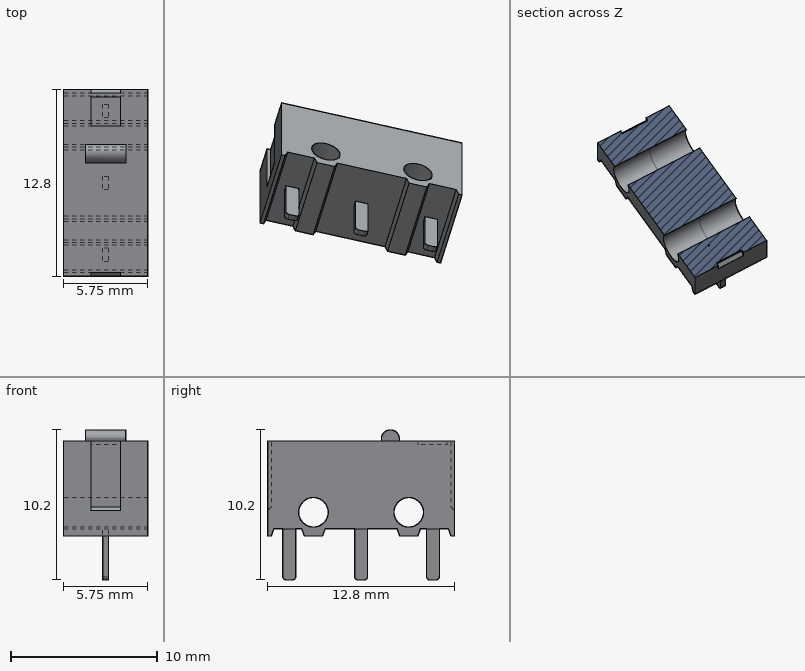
import cadquery as cq
import math


BODY_WIDTH = 5.75
BODY_LENGTH = 12.75
BODY_HEIGHT = 6.5
HALF_LENGTH = BODY_LENGTH / 2

FOOT_HEIGHT = 0.5
FOOT_FLANK_ANGLE = 20
FOOT_FLANK_RUN = FOOT_HEIGHT * math.tan(math.radians(FOOT_FLANK_ANGLE))
END_FOOT_LENGTH = 0.25
MIDDLE_FOOT_LENGTH = 1.25

HOLE_DIAMETER = 2.0
HOLE_SPACING = 6.5
HOLE_Z = 1.625

RECESS_WIDTH = 2.0
RECESS_DEPTH = 0.25
END_RECESS_HEIGHT = 4.75
POCKET_EDGE_GAP = 0.5

PLUNGER_WIDTH = 2.75
PLUNGER_RADIUS = 0.625
PLUNGER_HEIGHT = 0.75
PLUNGER_Y = 2.0

TERMINAL_THICKNESS = 0.4
TERMINAL_WIDTH = 0.9
TERMINAL_LENGTH = 3.0
TERMINAL_PITCH = 4.9
TERMINAL_CORNER_RADIUS = 0.25


def extrude_across(profile, width):
    """Extrude a YZ profile along X, centred on X = 0."""
    return profile.extrude(width / 2, both=True)


def make_body():
    """Box whose underside is cut away between the tapered feet."""
    body = cq.Workplane("XY").box(BODY_WIDTH, BODY_LENGTH, BODY_HEIGHT, centered=(True, True, False))
    foot_half = MIDDLE_FOOT_LENGTH / 2
    hole_y = HOLE_SPACING / 2
    end_foot_edge = HALF_LENGTH - END_FOOT_LENGTH
    gaps = [
        (-end_foot_edge, -hole_y - foot_half),
        (-hole_y + foot_half, hole_y - foot_half),
        (hole_y + foot_half, end_foot_edge),
    ]
    for start, end in gaps:
        gap = cq.Workplane("YZ").polyline([
            (start, 0),
            (end, 0),
            (end - FOOT_FLANK_RUN, FOOT_HEIGHT),
            (start + FOOT_FLANK_RUN, FOOT_HEIGHT),
        ]).close()
        body = body.cut(extrude_across(gap, BODY_WIDTH))
    return body


def make_mounting_holes():
    """Two holes through the full width."""
    spots = [(-HOLE_SPACING / 2, HOLE_Z), (HOLE_SPACING / 2, HOLE_Z)]
    circles = cq.Workplane("YZ").pushPoints(spots).circle(HOLE_DIAMETER / 2)
    return extrude_across(circles, BODY_WIDTH)


def make_end_recess(side):
    """Recess open at the top, with a 45 degree floor; side is the sign of Y."""
    floor_z = BODY_HEIGHT - END_RECESS_HEIGHT
    outer_y = side * HALF_LENGTH
    inner_y = side * (HALF_LENGTH - RECESS_DEPTH)
    profile = cq.Workplane("YZ").polyline([
        (outer_y, floor_z),
        (outer_y, BODY_HEIGHT),
        (inner_y, BODY_HEIGHT),
        (inner_y, floor_z + RECESS_DEPTH),
    ]).close()
    return extrude_across(profile, RECESS_WIDTH)


def make_top_pocket():
    """Shallow square pocket near the +Y end of the top face."""
    pocket_y = HALF_LENGTH - POCKET_EDGE_GAP - RECESS_WIDTH / 2
    top = cq.Workplane("XY", origin=(0, pocket_y, BODY_HEIGHT))
    return top.rect(RECESS_WIDTH, RECESS_WIDTH).extrude(-RECESS_DEPTH)


def make_plunger():
    """Straight-sided bar with a half-round top."""
    shoulder_z = BODY_HEIGHT + PLUNGER_HEIGHT - PLUNGER_RADIUS
    profile = (
        cq.Workplane("YZ")
        .moveTo(PLUNGER_Y - PLUNGER_RADIUS, BODY_HEIGHT)
        .lineTo(PLUNGER_Y - PLUNGER_RADIUS, shoulder_z)
        .threePointArc(
            (PLUNGER_Y, BODY_HEIGHT + PLUNGER_HEIGHT),
            (PLUNGER_Y + PLUNGER_RADIUS, shoulder_z),
        )
        .lineTo(PLUNGER_Y + PLUNGER_RADIUS, BODY_HEIGHT)
        .close()
    )
    return extrude_across(profile, PLUNGER_WIDTH)


def make_terminal(y):
    """Flat terminal hanging from the body underside, with rounded tip corners."""
    full_length = TERMINAL_LENGTH + FOOT_HEIGHT
    blade = cq.Workplane("XY", origin=(0, y, -TERMINAL_LENGTH)).box(
        TERMINAL_THICKNESS, TERMINAL_WIDTH, full_length, centered=(True, True, False)
    )
    return blade.faces("<Z").edges("|X").fillet(TERMINAL_CORNER_RADIUS)


result = make_body().cut(make_mounting_holes()).cut(make_top_pocket())
for end_side in (-1, 1):
    result = result.cut(make_end_recess(end_side))
result = result.union(make_plunger())
for position in (-1, 0, 1):
    result = result.union(make_terminal(position * TERMINAL_PITCH))